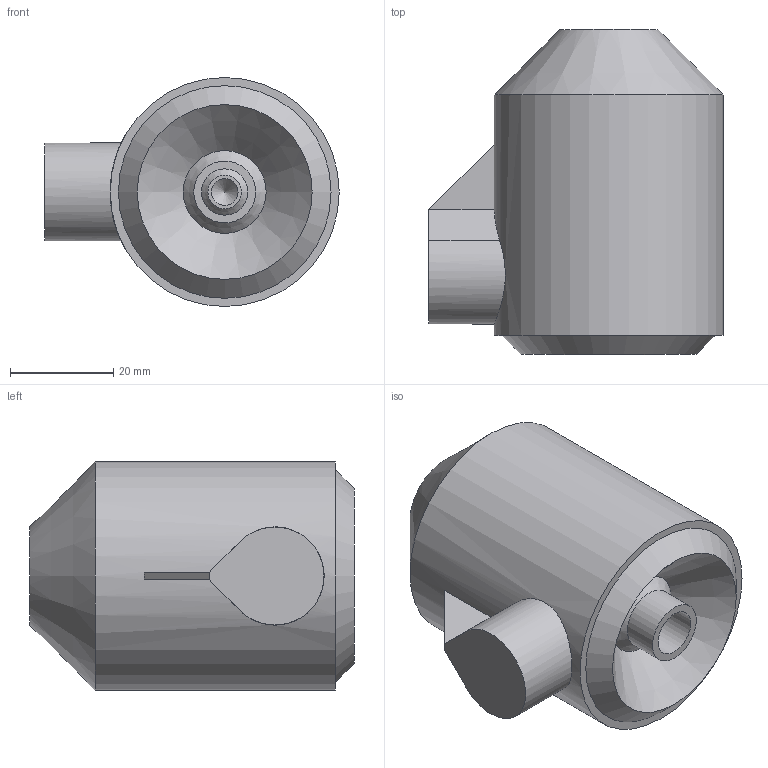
import cadquery as cq
import math

BODY_RADIUS = 22.225
BODY_LENGTH = 46.66
REAR_CONE_LENGTH = 12.7
FRONT_BEVEL_LENGTH = 3.67
FRONT_RING_WIDTH = 1.5875

TUBE_RADIUS = 6.0
TUBE_FLARE_RADIUS = 8.03
TUBE_BORE_RADIUS = 4.49
TUBE_BORE_DEPTH = 25.4

POST_TIP_RADIUS = 3.27
POST_RECESS_RADIUS = 2.58

BOSS_RADIUS = 9.525
BOSS_PROJECTION = 12.7
BOSS_TO_REAR = 47.625
BOSS_POINT_REACH = 12.7

REAR_Y = BODY_LENGTH + REAR_CONE_LENGTH
FRONT_Y = -FRONT_BEVEL_LENGTH
BOSS_Y = REAR_Y - BOSS_TO_REAR
BOSS_END_X = -(BODY_RADIUS + BOSS_PROJECTION)
BOSS_ROOT_X = -math.sqrt(BODY_RADIUS**2 - BOSS_RADIUS**2)
BOSS_TIP_Y = BOSS_Y + BOSS_POINT_REACH
BOSS_TIP_HALF_WIDTH = BOSS_RADIUS * math.sqrt(2) - BOSS_POINT_REACH


def make_revolved_body():
    """Outer shell, funnel, tube and post as one profile of (radius, y) points."""
    bevel_radius = BODY_RADIUS - FRONT_RING_WIDTH
    lip_radius = bevel_radius - FRONT_BEVEL_LENGTH
    funnel_bottom_y = FRONT_Y + lip_radius - TUBE_FLARE_RADIUS
    flare_top_y = funnel_bottom_y - (TUBE_FLARE_RADIUS - TUBE_RADIUS)
    bore_bottom_y = FRONT_Y + TUBE_BORE_DEPTH
    post_tip_y = bore_bottom_y - (TUBE_BORE_RADIUS - POST_TIP_RADIUS)
    profile = [
        (0, REAR_Y),
        (BODY_RADIUS - REAR_CONE_LENGTH, REAR_Y),
        (BODY_RADIUS, BODY_LENGTH),
        (BODY_RADIUS, 0),
        (bevel_radius, 0),
        (lip_radius, FRONT_Y),
        (TUBE_FLARE_RADIUS, funnel_bottom_y),
        (TUBE_RADIUS, flare_top_y),
        (TUBE_RADIUS, FRONT_Y),
        (TUBE_BORE_RADIUS, FRONT_Y),
        (TUBE_BORE_RADIUS, bore_bottom_y),
        (POST_TIP_RADIUS, post_tip_y),
        (POST_RECESS_RADIUS, post_tip_y),
        (0, post_tip_y + POST_RECESS_RADIUS),
    ]
    return cq.Workplane("XY").polyline(profile).close().revolve(360, (0, 0, 0), (0, 1, 0))


def make_side_boss():
    """Teardrop bar from the boss end face to just inside the body wall."""
    tangent_offset = BOSS_RADIUS / math.sqrt(2)
    tangent_y = BOSS_Y + tangent_offset
    return (
        cq.Workplane("YZ", origin=(BOSS_END_X, 0, 0))
        .moveTo(BOSS_TIP_Y, -BOSS_TIP_HALF_WIDTH)
        .lineTo(tangent_y, -tangent_offset)
        .threePointArc((BOSS_Y - BOSS_RADIUS, 0), (tangent_y, tangent_offset))
        .lineTo(BOSS_TIP_Y, BOSS_TIP_HALF_WIDTH)
        .close()
        .extrude(BOSS_ROOT_X - BOSS_END_X)
    )


def make_gusset():
    """Thin 45 degree rib running from the boss point down to the body wall."""
    slope_end_y = BOSS_TIP_Y + BOSS_ROOT_X - BOSS_END_X
    return (
        cq.Workplane("XY")
        .moveTo(BOSS_END_X, BOSS_TIP_Y)
        .lineTo(BOSS_ROOT_X, slope_end_y)
        .lineTo(BOSS_ROOT_X, BOSS_TIP_Y)
        .close()
        .extrude(BOSS_TIP_HALF_WIDTH, both=True)
    )


result = make_revolved_body().union(make_side_boss()).union(make_gusset())